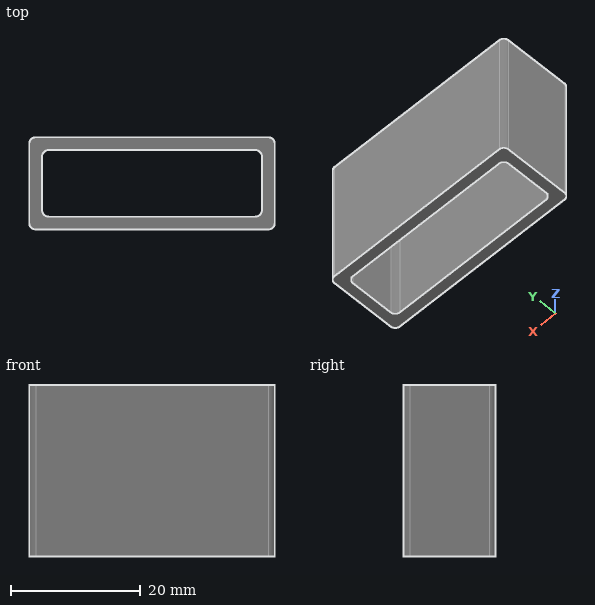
import cadquery as cq

length = 37.9
width = 14.25
height = 26.5
wall = 2.0
corner_radius = 1.0


def rounded_block(size_x, size_y):
    """Full-height block with its four upright edges rounded."""
    block = cq.Workplane("XY").box(size_x, size_y, height)
    return block.edges("|Z").fillet(corner_radius)


outer_body = rounded_block(length, width)
through_opening = rounded_block(length - 2 * wall, width - 2 * wall)

result = outer_body.cut(through_opening)